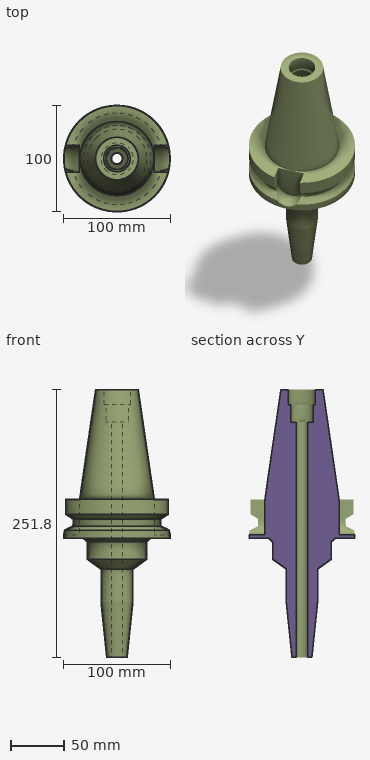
import cadquery as cq

total_height = 251.8

tip_diameter = 19.1
nose_diameter = 30.0
body_diameter = 56.0
collar_diameter = 63.0
nose_taper_top = 52.0
nose_top = 83.0
body_bottom = 92.5
body_top = 108.8

flange_diameter = 100.0
groove_diameter = 86.0
flange_bottom = 112.0
groove_bottom = 119.5
groove_floor_bottom = 123.5
groove_floor_top = 130.2
groove_top = 134.7
flange_top = 148.5

gauge_height = 150.0
gauge_diameter = 69.7
shank_end_diameter = 40.0

bore_diameter = 25.0
bore_depth = 13.8
step_diameter = 21.0
step_depth = 30.2
through_diameter = 10.3

slot_width = 25.5
slot_bottom = 115.5
slot_floor_distance = 35.3


def turned_body():
    diameter_and_height = [
        (tip_diameter, 0),
        (nose_diameter, nose_taper_top),
        (nose_diameter, nose_top),
        (body_diameter, body_bottom),
        (body_diameter, body_top),
        (collar_diameter, flange_bottom),
        (flange_diameter, flange_bottom),
        (flange_diameter, groove_bottom),
        (groove_diameter, groove_floor_bottom),
        (groove_diameter, groove_floor_top),
        (flange_diameter, groove_top),
        (flange_diameter, flange_top),
        (gauge_diameter, flange_top),
        (gauge_diameter, gauge_height),
        (shank_end_diameter, total_height),
    ]
    outline = [(diameter / 2, height) for diameter, height in diameter_and_height]
    profile = [(0, 0)] + outline + [(0, total_height)]
    return cq.Workplane("XZ").polyline(profile).close().revolve(360, (0, 0), (0, 1))


def bore(diameter, depth):
    return cq.Workplane("XY").workplane(offset=total_height - depth).circle(diameter / 2).extrude(depth)


def drive_slot(side):
    """Cutter for one slot; side is +1 or -1 along X."""
    half_width = slot_width / 2
    arc_center_height = slot_bottom + half_width
    return (
        cq.Workplane("YZ", origin=(side * slot_floor_distance, 0, 0))
        .moveTo(-half_width, flange_top)
        .lineTo(-half_width, arc_center_height)
        .threePointArc((0, slot_bottom), (half_width, arc_center_height))
        .lineTo(half_width, flange_top)
        .close()
        .extrude(side * (flange_diameter / 2 - slot_floor_distance))
    )


result = turned_body()
for diameter, depth in [
    (bore_diameter, bore_depth),
    (step_diameter, step_depth),
    (through_diameter, total_height),
]:
    result = result.cut(bore(diameter, depth))
for side in (-1, 1):
    result = result.cut(drive_slot(side))